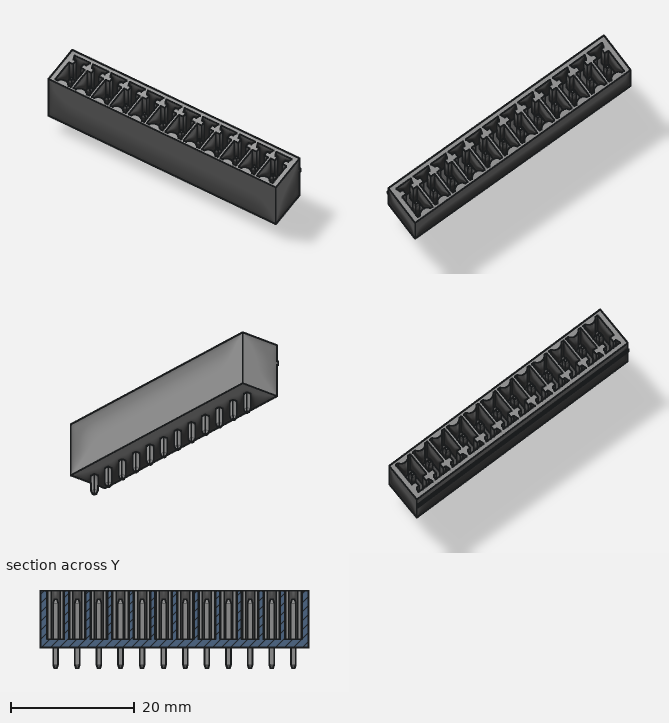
import cadquery as cq


length = 43.4
total_depth = 7.55
total_height = 12.6
body_height = 9.25
rail_projection = 0.25
body_depth = total_depth - rail_projection

rail_height = 0.65
rail_drop = 2.85

pin_count = 12
end_wall = 0.95
pocket_width = 3.0
front_wall = 0.5
floor_thickness = 1.4
neck_width = 1.45
neck_front = 4.77
neck_back = 5.7
pocket_back = 6.45
key_front_width = 2.47
rib_width = 2.05
rib_rise = 0.6

pin_size = 0.82
pin_y = 3.0
pin_tip_size = 0.45
pin_taper = 0.6
pin_top = 7.8
pin_tail = total_height - body_height

end_margin = end_wall + pocket_width / 2
pitch = (length - 2 * end_margin) / (pin_count - 1)
pin_positions = [end_margin + i * pitch for i in range(pin_count)]


def make_housing():
    body = cq.Workplane("XY").box(length, body_depth, body_height, centered=False)
    rail = (
        cq.Workplane("XY")
        .box(length, total_depth - pocket_back, rail_height, centered=False)
        .translate((0, pocket_back, body_height - rail_drop - rail_height))
    )
    return body.union(rail)


def make_pocket(x):
    """Pocket with a rounded front rib, a narrow neck and a dovetail key slot at the back."""
    half_pocket = pocket_width / 2
    half_neck = neck_width / 2
    half_key = key_front_width / 2
    half_rib = rib_width / 2
    return (
        cq.Workplane("XY", origin=(x, 0, floor_thickness))
        .moveTo(-half_pocket, front_wall)
        .lineTo(-half_rib, front_wall)
        .threePointArc((0, front_wall + rib_rise), (half_rib, front_wall))
        .lineTo(half_pocket, front_wall)
        .lineTo(half_pocket, neck_front)
        .lineTo(half_neck, neck_front)
        .lineTo(half_neck, neck_back)
        .lineTo(half_key, neck_back)
        .lineTo(half_pocket, pocket_back)
        .lineTo(-half_pocket, pocket_back)
        .lineTo(-half_key, neck_back)
        .lineTo(-half_neck, neck_back)
        .lineTo(-half_neck, neck_front)
        .lineTo(-half_pocket, neck_front)
        .close()
        .extrude(body_height - floor_thickness)
    )


def make_pin_tip(x, z, direction):
    """Square tip that tapers from the pin shaft at height z, up (1) or down (-1)."""
    return (
        cq.Workplane("XY", origin=(x, pin_y, z))
        .rect(pin_size, pin_size)
        .workplane(offset=direction * pin_taper)
        .rect(pin_tip_size, pin_tip_size)
        .loft(ruled=True)
    )


def make_pin(x):
    shaft_bottom = pin_taper - pin_tail
    shaft_top = pin_top - pin_taper
    shaft = (
        cq.Workplane("XY", origin=(x, pin_y, shaft_bottom))
        .rect(pin_size, pin_size)
        .extrude(shaft_top - shaft_bottom)
    )
    return shaft.union(make_pin_tip(x, shaft_top, 1)).union(make_pin_tip(x, shaft_bottom, -1))


result = make_housing()
for position in pin_positions:
    result = result.cut(make_pocket(position))
for position in pin_positions:
    result = result.union(make_pin(position))